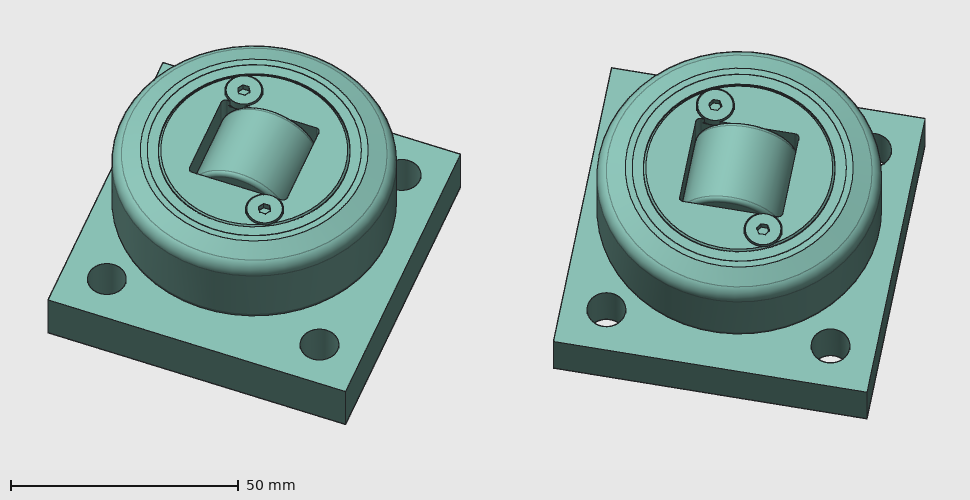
import cadquery as cq
import math

plate_side = 70.0
plate_thickness = 12.0
plate_hole_diameter = 8.5
plate_hole_spacing = 50.0

pin_diameter = 42.0
pin_chamfer = 0.5
pin_shoulder_top = 19.6
pin_neck_diameter = pin_diameter - 2 * pin_chamfer

ring_diameter = 62.5
ring_bottom = 20.0
ring_top = 40.0
ring_flat_diameter = 50.0
ring_cone_angle = math.radians(20.0)
ring_top_radius = 3.2
ring_bottom_radius = 1.5

seal_outer_diameter = 47.0
seal_inner_diameter = 42.1
seal_recess = 0.1
seal_gap_depth = 0.5

roller_radius = 11.5
roller_length = 20.0
roller_end_radius = 1.0
roller_protrusion = 2.5
roller_axis_height = ring_top + roller_protrusion - roller_radius
pocket_width = 2 * roller_radius
pocket_length = 21.2
pocket_floor_above_axis = 1.0
pocket_floor_height = roller_axis_height + pocket_floor_above_axis
pocket_corner_radius = 1.0

screw_head_diameter = 7.8
screw_hole_diameter = 8.38
screw_hole_depth = 2.0
screw_head_rise = 0.25
screw_socket_sides = 6
screw_socket_width = 2.5
screw_socket_depth = 1.5
screw_x = 8.0
screw_y = 14.4
screw_points = [(-screw_x, screw_y), (screw_x, -screw_y)]


def cylinder(diameter, bottom, top):
    """Upright cylinder on the Z axis between two heights."""
    return cq.Workplane("XY").workplane(offset=bottom).circle(diameter / 2).extrude(top - bottom)


def make_plate():
    """Square plate with a through hole near each corner."""
    return (
        cq.Workplane("XY")
        .rect(plate_side, plate_side)
        .extrude(plate_thickness)
        .faces(">Z")
        .workplane()
        .rect(plate_hole_spacing, plate_hole_spacing, forConstruction=True)
        .vertices()
        .hole(plate_hole_diameter)
    )


def make_pin():
    """Shoulder with both edges chamfered, and a neck up to the end face with its rim chamfered."""
    shoulder = cylinder(pin_diameter, plate_thickness, pin_shoulder_top).edges().chamfer(pin_chamfer)
    neck = cylinder(pin_neck_diameter, pin_shoulder_top, ring_bottom)
    end = cylinder(pin_diameter, ring_bottom, ring_top).faces(">Z").edges().chamfer(pin_chamfer)
    return shoulder.union(neck).union(end)


def make_ring():
    """Bearing ring: conical top edge blended into the rim, rounded bottom edge, recessed seal."""
    rim = ring_diameter / 2
    flat = ring_flat_diameter / 2
    cone_foot = ring_top - (rim - flat) * math.tan(ring_cone_angle)
    tangent_length = ring_top_radius * math.tan((math.pi / 2 - ring_cone_angle) / 2)
    arc_start = (rim, cone_foot - tangent_length)
    arc_end = (
        rim - tangent_length * math.cos(ring_cone_angle),
        cone_foot + tangent_length * math.sin(ring_cone_angle),
    )
    ring = (
        cq.Workplane("XZ")
        .moveTo(0, ring_bottom)
        .lineTo(rim - ring_bottom_radius, ring_bottom)
        .radiusArc((rim, ring_bottom + ring_bottom_radius), -ring_bottom_radius)
        .lineTo(*arc_start)
        .radiusArc(arc_end, -ring_top_radius)
        .lineTo(flat, ring_top)
        .lineTo(0, ring_top)
        .close()
        .revolve(360, (0, 0), (0, 1))
    )
    ring = ring.cut(cylinder(seal_outer_diameter, ring_top - seal_recess, ring_top))
    return ring.cut(cylinder(seal_inner_diameter, ring_top - seal_gap_depth, ring_top))


def make_pocket():
    """Rectangular pocket down to just above the roller axis, with rounded corners."""
    return (
        cq.Workplane("XY")
        .workplane(offset=pocket_floor_height)
        .rect(pocket_width, pocket_length)
        .extrude(ring_top - pocket_floor_height)
        .edges("|Z")
        .fillet(pocket_corner_radius)
    )


def make_roller():
    """Roller with rounded ends."""
    return (
        cq.Workplane("XZ", origin=(0, roller_length / 2, roller_axis_height))
        .circle(roller_radius)
        .extrude(roller_length)
        .edges()
        .fillet(roller_end_radius)
    )


def add_screws(body):
    """Clear a round seat for each screw, then set a raised head with a hex socket in it."""
    socket_corner_diameter = screw_socket_width / math.cos(math.pi / screw_socket_sides)
    head_top = ring_top + screw_head_rise
    seat_bottom = ring_top - screw_hole_depth
    for point in screw_points:
        seat = cylinder(screw_hole_diameter, seat_bottom, ring_top)
        head = cylinder(screw_head_diameter, seat_bottom, head_top)
        socket = (
            cq.Workplane("XY")
            .workplane(offset=head_top - screw_socket_depth)
            .polygon(screw_socket_sides, socket_corner_diameter)
            .extrude(screw_socket_depth)
        )
        place = (point[0], point[1], 0)
        body = body.cut(seat.translate(place)).union(head.cut(socket).translate(place))
    return body


body = make_plate().union(make_ring()).union(make_pin())
body = body.cut(make_pocket())
body = add_screws(body)
result = body.union(make_roller())